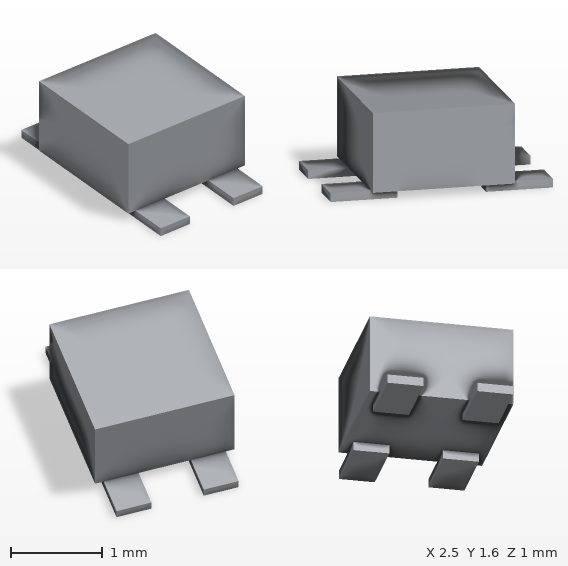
import cadquery as cq

overall_length = 2.5
overall_height = 1.0

housing_side = 1.6

lead_length = 0.75
lead_width = 0.4
lead_thickness = 0.1
lead_pitch = 1.0

housing_height = overall_height - lead_thickness
lead_center_x = (overall_length - lead_length) / 2
lead_center_y = lead_pitch / 2


def make_housing():
    """Plain block resting on top of the leads."""
    return (
        cq.Workplane("XY")
        .workplane(offset=lead_thickness)
        .rect(housing_side, housing_side)
        .extrude(housing_height)
    )


def make_lead(x_side, y_side):
    """Flat lead in the corner given by the signs of X and Y, with its underside at Z = 0."""
    return (
        cq.Workplane("XY")
        .center(x_side * lead_center_x, y_side * lead_center_y)
        .rect(lead_length, lead_width)
        .extrude(lead_thickness)
    )


housing = make_housing()
leads = [make_lead(x_side, y_side) for x_side in (-1, 1) for y_side in (-1, 1)]

result = cq.Compound.makeCompound([housing.val(), *[lead.val() for lead in leads]])